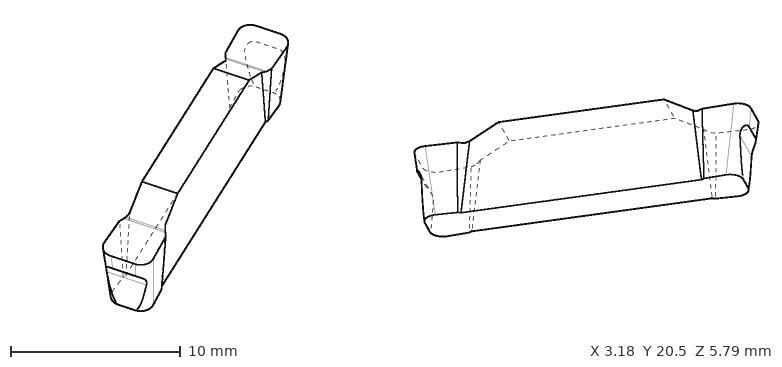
import cadquery as cq
import math

width = 3.18
length = 20.53
height = 5.79
head_height = 4.6

half_length = length / 2
corner_radius = 0.8
back_taper = math.radians(2.5)
corner_half_width = width / 2 + corner_radius * math.tan(back_taper)
head_length = 2.8
body_width = 2.32
body_half_width = body_width / 2
neck_length = 0.64

relief_depth = 0.53
land_height = 1.2
relief_drop = 2.07
relief_radius = 1.2
relief_bottom = 0.08

end_lean = relief_depth * head_height / (head_height - relief_bottom)
side_lean = 0.25
head_back_lean = 0.051

ramp_top_offset = 5.21
ramp_angle = math.radians(30)
ramp_root_radius = 0.23

overrun = 1.03

head_half_width = corner_half_width - head_length * math.tan(back_taper)
neck_slope = neck_length / (head_half_width - body_half_width)


def plan_outline(z):
    """Corners of the double-ended outline at height z, before rounding."""
    drop = (head_height - z) / head_height
    end_y = half_length - end_lean * drop
    back_y = half_length - head_length + head_back_lean * drop
    corner_x = corner_half_width - side_lean * drop
    back_x = head_half_width - side_lean * drop
    body_y = back_y - neck_slope * (back_x - body_half_width)
    quarter = [(body_half_width, body_y), (back_x, back_y), (corner_x, end_y)]
    right_side = [(x, -y) for x, y in reversed(quarter)] + quarter
    left_side = [(-x, -y) for x, y in right_side]
    return right_side + left_side


def make_blank():
    """Leaning-sided solid with rounded corners at the four end corners."""
    blank = (
        cq.Workplane("XY").polyline(plan_outline(0)).close()
        .workplane(offset=height).polyline(plan_outline(height)).close()
        .loft(ruled=True)
    )
    corner_y = half_length - end_lean
    for sx in (-1, 1):
        for sy in (-1, 1):
            nearest = cq.selectors.NearestToPointSelector(
                (sx * corner_half_width, sy * corner_y, height / 2)
            )
            blank = blank.edges(nearest).fillet(corner_radius)
    return blank


def make_side_envelope():
    """Long-side profile: low heads, ramps with rounded roots, raised middle."""
    top_y = half_length - ramp_top_offset
    root_y = top_y + (height - head_height) / math.tan(ramp_angle)
    outer_y = half_length + overrun
    profile = [
        (-outer_y, 0), (outer_y, 0), (outer_y, head_height), (root_y, head_height),
        (top_y, height), (-top_y, height), (-root_y, head_height), (-outer_y, head_height),
    ]
    envelope = cq.Workplane("YZ").polyline(profile).close()
    envelope = envelope.extrude(corner_half_width + overrun, both=True)
    for y in (-root_y, root_y):
        root = cq.selectors.NearestToPointSelector((0, y, head_height))
        envelope = envelope.edges(root).fillet(ramp_root_radius)
    return envelope


def make_relief():
    """Cutter for the -Y end: flat relief with a concave arc up to the land."""
    flat_y = -half_length + relief_depth
    flat_top = head_height - relief_drop
    land_z = head_height - land_height
    center_y = flat_y - relief_radius

    def arc_point(angle):
        return (
            center_y + relief_radius * math.cos(angle),
            flat_top + relief_radius * math.sin(angle),
        )

    land_angle = math.asin((land_z - flat_top) / relief_radius)
    outer_y = -half_length - overrun
    return (
        cq.Workplane("YZ").moveTo(outer_y, -overrun).lineTo(flat_y, -overrun)
        .lineTo(flat_y, flat_top)
        .threePointArc(arc_point(land_angle / 2), arc_point(land_angle))
        .lineTo(outer_y, land_z).close()
        .extrude(corner_half_width + overrun, both=True)
    )


relief = make_relief()
result = make_blank().intersect(make_side_envelope())
result = result.cut(relief).cut(relief.mirror("XZ"))